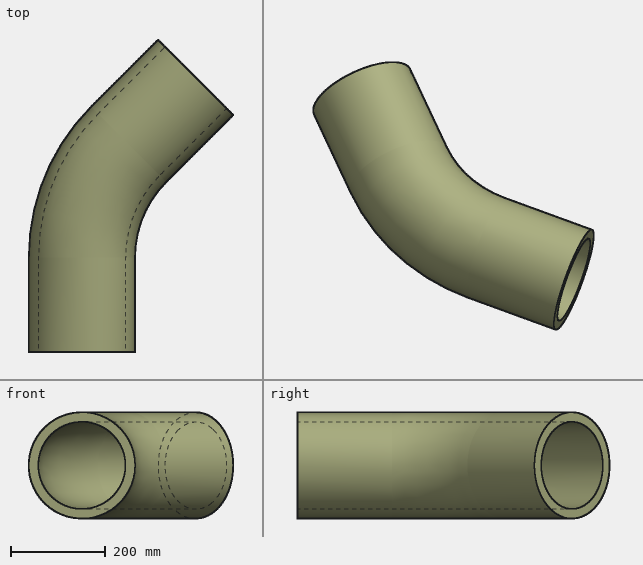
import cadquery as cq

outer_diameter = 225.0
wall_thickness = 20.5
straight_length = 200.0
bend_radius = 1.5 * outer_diameter
bend_angle = 45

inner_diameter = outer_diameter - 2 * wall_thickness


def pipe_section():
    """Ring-shaped pipe section centred where the bend starts, normal to Y."""
    return cq.Workplane("XZ").circle(outer_diameter / 2).circle(inner_diameter / 2)


def turn_about_bend_centre(body):
    """Carry a body from the start of the bend around to its end."""
    return body.rotate((bend_radius, 0, 0), (bend_radius, 0, 1), -bend_angle)


inlet = pipe_section().extrude(straight_length)
outlet = turn_about_bend_centre(pipe_section().extrude(-straight_length))

bend = pipe_section().revolve(bend_angle, (bend_radius, 6.5, 0), (bend_radius, 0, 0))

result = inlet.union(bend).union(outlet)